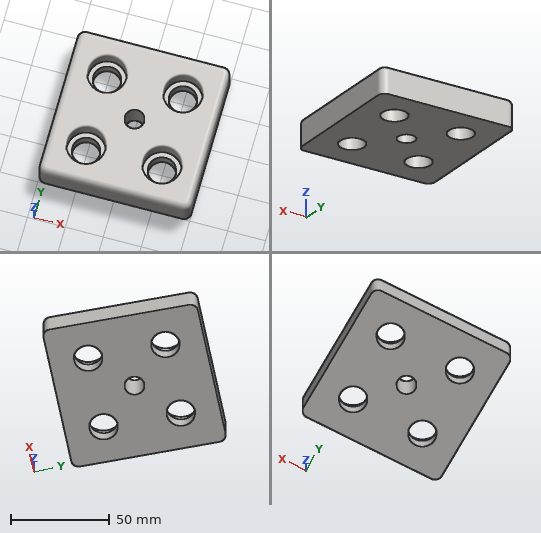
import cadquery as cq

side = 80.0
thickness = 16.0
corner_radius = 4.0
top_edge_radius = 3.0

hole_spacing = side / 2
hole_diameter = 14.5
counterbore_diameter = 20.0
counterbore_depth = 9.0
mouth_radius = 1.0

center_hole_diameter = 10.2


def rounded_plate():
    """Plate with its base on Z = 0, rounded corners and a rounded top rim."""
    plate = cq.Workplane("XY").box(side, side, thickness, centered=(True, True, False))
    plate = plate.edges("|Z").fillet(corner_radius)
    return plate.faces(">Z").edges().fillet(top_edge_radius)


def counterbored_hole_cutter():
    """Through hole, counterbore and rounded mouth as one revolved solid."""
    hole_radius = hole_diameter / 2
    bore_radius = counterbore_diameter / 2
    profile = (
        cq.Workplane("XZ")
        .lineTo(hole_radius, 0)
        .lineTo(hole_radius, thickness - counterbore_depth)
        .lineTo(bore_radius, thickness - counterbore_depth)
        .lineTo(bore_radius, thickness - mouth_radius)
        .radiusArc((bore_radius + mouth_radius, thickness), mouth_radius)
        .lineTo(0, thickness)
        .close()
    )
    return profile.revolve(360, (0, 0, 0), (0, 1, 0))


result = rounded_plate()

hole_cutter = counterbored_hole_cutter()
for x in (-hole_spacing / 2, hole_spacing / 2):
    for y in (-hole_spacing / 2, hole_spacing / 2):
        result = result.cut(hole_cutter.translate((x, y, 0)))

center_hole = cq.Workplane("XY").circle(center_hole_diameter / 2).extrude(thickness)
result = result.cut(center_hole)